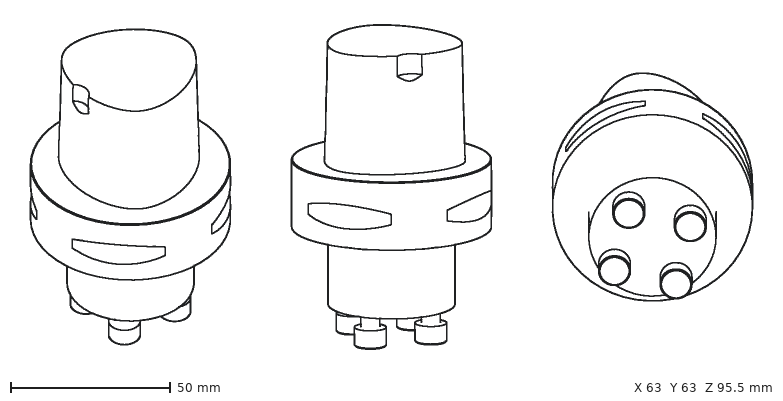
import cadquery as cq
import math

TOTAL_HEIGHT = 95.5
HEAD_HEIGHT = 6.0
NECK_BASE = 10.5
FLANGE_BASE = 35.5
FLANGE_TOP = 57.5

FLANGE_DIAMETER = 63.0
FLANGE_RIM_CHAMFER = 0.3
NECK_DIAMETER = 40.0
UNDERSIDE_ANGLE = 15.0
NECK_FILLET = 3.0

SHANK_BASE_WIDTH = 44.3
TAPER_RATIO = 1 / 20
LOBE_HEIGHT = 1.3
OUTLINE_POINTS = 36

NOTCH_DIAMETER = 10.0
NOTCH_AXIS_Y = -22.6
NOTCH_DEPTH = 6.5
NOTCH_POINT_HALF_ANGLE = 55.0

GROOVE_COUNT = 4
FIRST_GROOVE_DIRECTION = 45.0
GROOVE_FLOOR_DISTANCE = 27.8
GROOVE_FLOOR_WIDTH = 3.4
GROOVE_FLOOR_FILLET = 0.4
GROOVE_WALL_ANGLE = 30.0
GROOVE_BELOW_FLANGE_TOP = 12.0

SCREW_OFFSET = 9.9
SCREW_SHANK_DIAMETER = 6.0
SCREW_HEAD_DIAMETER = 10.0
SCREW_HEAD_CHAMFER = 0.4
SCREW_NECK_FILLET = 0.3


def revolved_body():
    """Neck, conical underside and flange as one turned body."""
    neck_radius = NECK_DIAMETER / 2
    flange_radius = FLANGE_DIAMETER / 2
    cone_drop = (flange_radius - neck_radius) * math.tan(math.radians(UNDERSIDE_ANGLE))
    cone_root = FLANGE_BASE - cone_drop
    body = (
        cq.Workplane("XZ")
        .moveTo(0, NECK_BASE)
        .lineTo(neck_radius, NECK_BASE)
        .lineTo(neck_radius, cone_root)
        .lineTo(flange_radius, FLANGE_BASE)
        .lineTo(flange_radius, FLANGE_TOP)
        .lineTo(0, FLANGE_TOP)
        .close()
        .revolve(360, (0, 0, 0), (0, 1, 0))
    )
    body = body.faces(">Z").edges().chamfer(FLANGE_RIM_CHAMFER)
    root_edge = cq.selectors.NearestToPointSelector((0, 0, cone_root))
    return body.edges(root_edge).fillet(NECK_FILLET)


def lobed_point(angle, width):
    """Point on a three-lobed outline of constant width, with one lobe toward +Y."""
    x = -width / 2 * math.sin(angle) + LOBE_HEIGHT * (2 * math.sin(2 * angle) + math.sin(4 * angle))
    y = width / 2 * math.cos(angle) + LOBE_HEIGHT * (2 * math.cos(2 * angle) - math.cos(4 * angle))
    return (x, y)


def lobed_outline(width, height):
    """Smooth closed curve through the lobed outline at one height."""
    steps = range(OUTLINE_POINTS)
    points = [cq.Vector(*lobed_point(2 * math.pi * i / OUTLINE_POINTS, width), height) for i in steps]
    return cq.Wire.assembleEdges([cq.Edge.makeSpline(points, periodic=True)])


def lobed_shank():
    """Shank that narrows evenly from the flange to the top face."""
    length = TOTAL_HEIGHT - FLANGE_TOP
    top_width = SHANK_BASE_WIDTH - length * TAPER_RATIO
    base = lobed_outline(SHANK_BASE_WIDTH, FLANGE_TOP)
    top = lobed_outline(top_width, TOTAL_HEIGHT)
    return cq.Workplane(cq.Solid.makeLoft([base, top], True))


def notch_cutter():
    """Vertical drill shape that breaks out through the side of the shank."""
    radius = NOTCH_DIAMETER / 2
    shoulder = TOTAL_HEIGHT - NOTCH_DEPTH
    point = shoulder - radius / math.tan(math.radians(NOTCH_POINT_HALF_ANGLE))
    return (
        cq.Workplane("XZ", origin=(0, NOTCH_AXIS_Y, 0))
        .polyline([(0, point), (radius, shoulder), (radius, TOTAL_HEIGHT), (0, TOTAL_HEIGHT)])
        .close()
        .revolve(360, (0, 0, 0), (0, 1, 0))
    )


def groove_cutter(direction):
    """Straight trapezoidal groove across the flange, facing +X before it is turned."""
    mouth = FLANGE_DIAMETER / 2
    half_floor = GROOVE_FLOOR_WIDTH / 2
    half_mouth = half_floor + (mouth - GROOVE_FLOOR_DISTANCE) * math.tan(math.radians(GROOVE_WALL_ANGLE))
    return (
        cq.Workplane("XZ", origin=(0, 0, FLANGE_TOP - GROOVE_BELOW_FLANGE_TOP))
        .polyline([
            (GROOVE_FLOOR_DISTANCE, -half_floor),
            (mouth, -half_mouth),
            (mouth, half_mouth),
            (GROOVE_FLOOR_DISTANCE, half_floor),
        ])
        .close()
        .extrude(FLANGE_DIAMETER / 2, both=True)
        .faces("<X")
        .edges("|Y")
        .fillet(GROOVE_FLOOR_FILLET)
        .rotate((0, 0, 0), (0, 0, 1), direction)
    )


def cap_screw(x, y):
    """Screw with its head down and its stem reaching up to the neck."""
    head_radius = SCREW_HEAD_DIAMETER / 2
    head = cq.Workplane("XY").circle(head_radius).extrude(HEAD_HEIGHT).faces("<Z").chamfer(SCREW_HEAD_CHAMFER)
    stem = cq.Workplane("XY").circle(SCREW_SHANK_DIAMETER / 2).extrude(NECK_BASE)
    screw = head.union(stem)
    neck_edge = screw.faces("|Z").faces(">Z[-2]").edges(cq.selectors.RadiusNthSelector(0))
    return neck_edge.fillet(SCREW_NECK_FILLET).translate((x, y, 0))


result = revolved_body().union(lobed_shank()).cut(notch_cutter())

for index in range(GROOVE_COUNT):
    result = result.cut(groove_cutter(FIRST_GROOVE_DIRECTION + index * 360 / GROOVE_COUNT))

for x in (-SCREW_OFFSET, SCREW_OFFSET):
    for y in (-SCREW_OFFSET, SCREW_OFFSET):
        result = result.union(cap_screw(x, y))